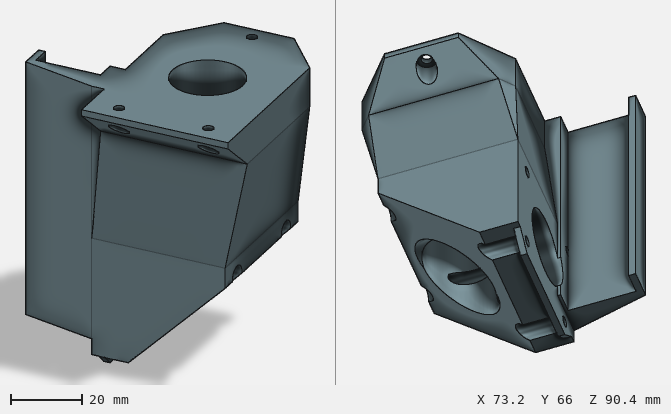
import cadquery as cq

total_x = 73.2
total_y = 66.0
total_z = 90.4
plate_thickness = 2.0

plate_left = 27.2
plate_center_x = (plate_left + total_x) / 2
plate_back_width = 22.1
plate_corner_y = 51.7
plate_bottom = total_z - plate_thickness
flare_bottom = 78.1
neck_front = 12.1
neck_back = 56.0

body_left = 23.3
body_right = 65.2
body_front = 14.3
body_back = 60.6
body_top = 42.4
body_bottom = 5.6
slope_start_x = 34.8
slope_top = body_bottom + body_right - slope_start_x

flange_center_y = (body_front + body_back) / 2
tongue_bottom_width = 31.1
tongue_top_width = tongue_bottom_width + 2 * body_bottom

wing_bottom = 10.6
lip_thickness = 2.1
lip_back = 27.75
lip_front = 19.5
web_back = 21.7
block_left = 22.4

top_bore_diameter = 22.0
top_bore_y = 33.45
side_bore_diameter = 23.0
side_bore_z = 21.15
screw_diameter = 3.2
screw_head_diameter = 6.0
front_screw_spacing = 28.0
front_screw_y = 5.6
back_screw_y = 61.6
side_screw_spacing = 30.9


def plate_outline(front, back, z):
    """Six-sided outline with clipped back corners, counterclockwise from the front left."""
    clip_share = (back - plate_corner_y) / (total_y - plate_corner_y)
    clip_run = (total_x - plate_left - plate_back_width) / 2
    half_back = (total_x - plate_left) / 2 - clip_share * clip_run
    return [
        cq.Vector(plate_left, front, z),
        cq.Vector(total_x, front, z),
        cq.Vector(total_x, plate_corner_y, z),
        cq.Vector(plate_center_x + half_back, back, z),
        cq.Vector(plate_center_x - half_back, back, z),
        cq.Vector(plate_left, plate_corner_y, z),
    ]


def polyhedron(faces):
    """Solid bounded by flat faces, each given by its corner points."""
    shell = cq.Shell.makeShell([
        cq.Face.makeFromWires(cq.Wire.makePolygon(points, close=True)) for points in faces
    ])
    return cq.Workplane(obj=cq.Solid.makeSolid(shell))


def make_plate():
    outline = [point.toTuple()[:2] for point in plate_outline(0, total_y, 0)]
    return (
        cq.Workplane("XY", origin=(0, 0, plate_bottom))
        .polyline(outline).close().extrude(plate_thickness)
    )


def make_flare():
    upper = plate_outline(0, total_y, plate_bottom)
    lower = plate_outline(neck_front, neck_back, flare_bottom)
    faces = [upper, lower]
    for i in range(len(upper)):
        j = (i + 1) % len(upper)
        faces.append([upper[i], upper[j], lower[j], lower[i]])
    return polyhedron(faces)


def make_transition():
    """Neck blending the six-sided flare into the rectangular body."""
    front_left, front_right, side_right, back_right, back_left, side_left = plate_outline(
        neck_front, neck_back, flare_bottom
    )
    base_front_left = cq.Vector(body_left, body_front, body_top)
    base_front_right = cq.Vector(body_right, body_front, body_top)
    base_back_right = cq.Vector(body_right, body_back, body_top)
    base_back_left = cq.Vector(body_left, body_back, body_top)
    return polyhedron([
        [front_left, front_right, side_right, back_right, back_left, side_left],
        [base_front_left, base_front_right, base_back_right, base_back_left],
        [front_left, front_right, base_front_right, base_front_left],
        [front_right, side_right, base_back_right, base_front_right],
        [side_right, back_right, base_back_right],
        [back_right, back_left, base_back_left, base_back_right],
        [back_left, side_left, base_back_left],
        [side_left, front_left, base_front_left, base_back_left],
    ])


def make_body():
    profile = [
        (body_left, body_bottom),
        (slope_start_x, body_bottom),
        (body_right, slope_top),
        (body_right, body_top),
        (body_left, body_top),
    ]
    return (
        cq.Workplane("XZ", origin=(0, body_front, 0))
        .polyline(profile).close().extrude(body_front - body_back)
    )


def make_tongue():
    half_top = tongue_top_width / 2
    half_bottom = tongue_bottom_width / 2
    profile = [
        (flange_center_y - half_bottom, 0),
        (flange_center_y + half_bottom, 0),
        (flange_center_y + half_top, body_bottom),
        (flange_center_y + half_top, side_bore_z),
        (flange_center_y - half_top, side_bore_z),
        (flange_center_y - half_top, body_bottom),
    ]
    return (
        cq.Workplane("YZ", origin=(body_left, 0, 0))
        .polyline(profile).close().extrude(plate_thickness)
    )


def make_wing():
    profile = [
        (0, lip_front),
        (body_left, body_front),
        (plate_left, body_front),
        (plate_left, lip_back),
        (block_left, lip_back),
        (block_left, web_back),
        (lip_thickness, web_back),
        (lip_thickness, lip_back),
        (0, lip_back),
    ]
    return (
        cq.Workplane("XY", origin=(0, 0, wing_bottom))
        .polyline(profile).close().extrude(total_z - wing_bottom)
    )


def cut_vertical_holes(part):
    screw_points = [
        (plate_center_x - front_screw_spacing / 2, front_screw_y),
        (plate_center_x + front_screw_spacing / 2, front_screw_y),
        (plate_center_x, back_screw_y),
    ]
    bore = (
        cq.Workplane("XY").center(plate_center_x, top_bore_y)
        .circle(top_bore_diameter / 2).extrude(total_z)
    )
    screws = (
        cq.Workplane("XY", origin=(0, 0, flare_bottom))
        .pushPoints(screw_points).circle(screw_diameter / 2)
        .extrude(total_z - flare_bottom)
    )
    heads = (
        cq.Workplane("XY", origin=(0, 0, flare_bottom))
        .pushPoints(screw_points).circle(screw_head_diameter / 2)
        .extrude(plate_bottom - flare_bottom)
    )
    return part.cut(bore).cut(screws).cut(heads)


def cut_side_holes(part):
    side = cq.Workplane("YZ", origin=(block_left, flange_center_y, side_bore_z))
    bore = side.circle(side_bore_diameter / 2).extrude(total_x)
    screws = side.rect(side_screw_spacing, side_screw_spacing, forConstruction=True).vertices()
    holes = screws.circle(screw_diameter / 2).extrude(total_x)
    heads = (
        side.workplane(offset=body_left + plate_thickness - block_left)
        .rect(side_screw_spacing, side_screw_spacing, forConstruction=True).vertices()
        .circle(screw_head_diameter / 2).extrude(total_x)
    )
    return part.cut(bore).cut(holes).cut(heads)


result = make_plate().union(make_flare()).union(make_transition()).union(make_body())
result = result.union(make_tongue()).union(make_wing())
result = cut_side_holes(cut_vertical_holes(result))